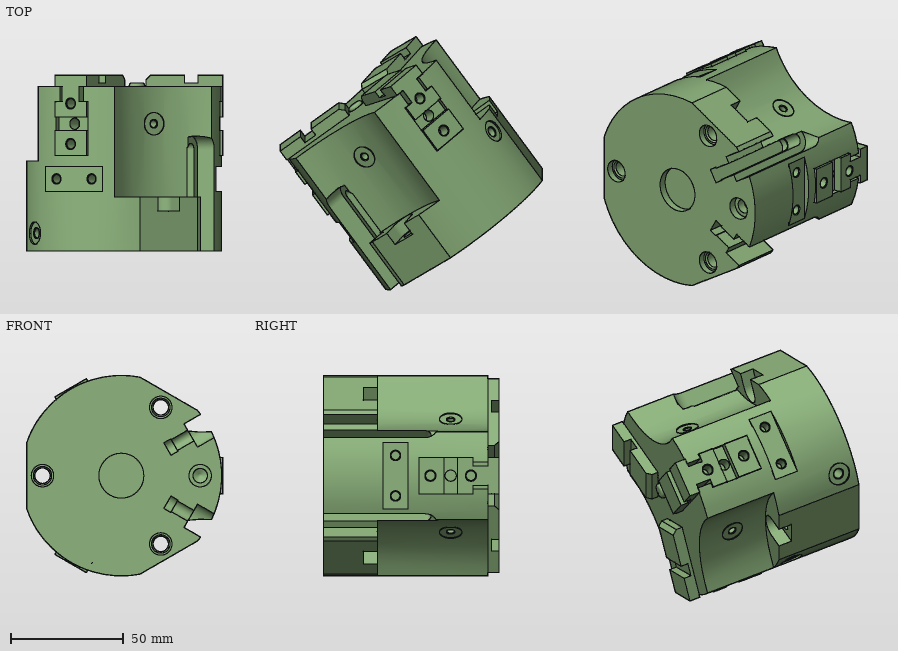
import cadquery as cq


JAW_ANGLES = (0, 120, 240)

HOUSING_RADIUS = 44.5
HOUSING_LENGTH = 73.1
FLAT_DISTANCE = 42.0
NECK_START = 66.3

SCALLOP_SHELVES = {60: 24.0, 180: 40.05, 300: 24.0}
SCALLOP_DEPTH_RADIUS = 29.0
SCALLOP_RADIUS = 43.0

BOLT_CIRCLE = 35.0
BOLT_HOLE_RADIUS = 3.4
BOLT_HEAD_RADIUS = 5.5
BOLT_HEAD_DEPTH = 6.2
SEAT_RADIUS = 5.0
SEAT_DEPTH = 3.2
BOLT_CHAMFER = 0.7
DOWEL_SEAT_DEPTH = 3.65
DOWEL_RADIUS = 3.2
DOWEL_DEPTH = 8.0
DOWEL_TIP = 1.8
CENTRE_RECESS_RADIUS = 10.0
CENTRE_RECESS_DEPTH = 3.6

CHANNEL_ANGLES = (30, -30)
CHANNEL_END = 45.0
CHANNEL_LAYERS = ((35.6, 6.0), (27.1, 2.8), (23.6, 3.2))

BRACKET_ANGLES = (0, 120)
BRACKET_CENTRE = 32.0
BRACKET_WIDTH = 10.95
BRACKET_HOLE_RADIUS = 2.0
BRACKET_HOLE_OFFSET = 9.0
BRACKET_HOLE_DEPTH = 7.1

PORTS = ((150, 8.0), (210, 31.95))
PORT_SEAT_DEPTH = 1.0
PORT_HOLE_RADIUS = 2.1
PORT_HOLE_DEPTH = 10.7

PURGE_Y = 56.5
PURGE_SEAT_DEPTH = 0.2
PURGE_HOLE_RADIUS = 1.6
PURGE_HOLE_DEPTH = 8.9

BUTTON_X = 6.9
BUTTON_RADIUS = 3.5
BUTTON_HEIGHT = 1.6
BUTTON_ROUNDING = 1.25

JAW_INNER = 10.9
JAW_OUTER = 45.0
JAW_HALF_WIDTH = 8.1
JAW_START = 42.4
JAW_END = 78.0
JAW_CHAMFER = 2.05
NECK_HALF_WIDTH = 4.4
NECK_SLOT_HALF_WIDTH = 6.0
JAW_KEYWAY_CENTRE = 31.0
JAW_KEYWAY_WIDTH = 5.9
JAW_KEYWAY_DEPTH = 3.4
JAW_GROOVE_CENTRE = 56.5
JAW_GROOVE_WIDTH = 5.9
JAW_GROOVE_FLOOR = 41.4
JAW_HOLES_Y = (47.5, 65.5)
JAW_HOLE_RADIUS = 2.1
JAW_HOLE_DEPTH = 8.0
GROOVE_HOLE_RADIUS = 2.5

HOLE_CHAMFER = 0.4
CLEARANCE = 8.9


def turned(shape, angle):
    """Turn a shape made along +X about the gripper axis to the given angle."""
    return shape.rotate((0, 0, 0), (0, 1, 0), -angle)


def disc(radius, y_start, y_end, x=0.0):
    """Cylinder parallel to the gripper axis."""
    return cq.Workplane("XZ", origin=(x, y_start, 0)).circle(radius).extrude(y_start - y_end)


def block(r_inner, r_outer, half_width, y_start, y_end):
    """Box along +X, centred across the XY plane."""
    size = (r_outer - r_inner, y_end - y_start, 2 * half_width)
    return cq.Workplane("XY").box(*size, centered=(False, False, True)).translate((r_inner, y_start, 0))


def radial_disc(radius, r_inner, r_outer, y, offset=0.0):
    """Cylinder along +X."""
    return cq.Workplane("YZ", origin=(r_inner, y, offset)).circle(radius).extrude(r_outer - r_inner)


def cone(base_radius, top_radius, height, base, direction):
    """Full or truncated cone standing on the point base."""
    solid = cq.Solid.makeCone(base_radius, top_radius, height, cq.Vector(*base), cq.Vector(*direction))
    return cq.Workplane(solid)


def chamfered_radial_hole(radius, depth, r_surface, y, offset=0.0):
    """Blind hole bored along -X from r_surface, with a chamfered mouth."""
    bore = radial_disc(radius, r_surface - depth, r_surface + HOLE_CHAMFER, y, offset)
    mouth = cone(radius + HOLE_CHAMFER, radius, HOLE_CHAMFER, (r_surface, y, offset), (-1, 0, 0))
    return bore.union(mouth)


def seated_port(r_seat, hole_radius, hole_depth, y):
    """Chamfered hole in the middle of a round flat seat."""
    seat = radial_disc(SEAT_RADIUS, r_seat, r_seat + CLEARANCE, y)
    return seat.union(chamfered_radial_hole(hole_radius, hole_depth, r_seat, y))


def housing_blank():
    """Round body with an outer flat at the angle of each concave pocket."""
    blank = disc(HOUSING_RADIUS, 0, HOUSING_LENGTH)
    flat = block(FLAT_DISTANCE, HOUSING_RADIUS + CLEARANCE, HOUSING_RADIUS, 0, HOUSING_LENGTH)
    for angle in SCALLOP_SHELVES:
        blank = blank.cut(turned(flat, angle))
    return blank


def scallop(shelf):
    """Concave pocket, its bolt hole and the round-ended space for the bolt head."""
    centre = SCALLOP_DEPTH_RADIUS + SCALLOP_RADIUS
    head_floor = shelf - BOLT_HEAD_DEPTH
    cutter = disc(SCALLOP_RADIUS, shelf, HOUSING_LENGTH, centre)
    cutter = cutter.union(disc(BOLT_HEAD_RADIUS, head_floor, shelf, BOLT_CIRCLE))
    cutter = cutter.union(block(BOLT_CIRCLE, HOUSING_RADIUS, BOLT_HEAD_RADIUS, head_floor, shelf))
    cutter = cutter.union(disc(BOLT_HOLE_RADIUS, 0, shelf, BOLT_CIRCLE))
    cutter = cutter.union(disc(SEAT_RADIUS, 0, SEAT_DEPTH, BOLT_CIRCLE))
    cutter = cutter.union(cone(BOLT_HOLE_RADIUS + BOLT_CHAMFER, BOLT_HOLE_RADIUS, BOLT_CHAMFER,
                               (BOLT_CIRCLE, SEAT_DEPTH, 0), (0, 1, 0)))
    r_seat = SCALLOP_DEPTH_RADIUS - PURGE_SEAT_DEPTH
    return cutter.union(seated_port(r_seat, PURGE_HOLE_RADIUS, PURGE_HOLE_DEPTH, PURGE_Y))


def dowel_hole():
    """Seated blind hole with a drill-point end."""
    hole = disc(SEAT_RADIUS, 0, DOWEL_SEAT_DEPTH, BOLT_CIRCLE)
    hole = hole.union(disc(DOWEL_RADIUS, 0, DOWEL_DEPTH, BOLT_CIRCLE))
    return hole.union(cone(DOWEL_RADIUS, 0, DOWEL_TIP, (BOLT_CIRCLE, DOWEL_DEPTH, 0), (0, 1, 0)))


def sensor_channel():
    """Stepped channel open to the mounting face, with round ends."""
    cutter = cq.Workplane("XY")
    r_outer = HOUSING_RADIUS + CLEARANCE
    for r_inner, half_width in CHANNEL_LAYERS:
        cutter = cutter.union(block(r_inner, r_outer, half_width, 0, CHANNEL_END))
        cutter = cutter.union(radial_disc(half_width, r_inner, r_outer, CHANNEL_END))
        r_outer = r_inner
    return cutter


def bracket_flat():
    """Cross-cut flat with its pair of screw holes."""
    half = BRACKET_WIDTH / 2
    cutter = block(FLAT_DISTANCE, HOUSING_RADIUS + CLEARANCE, HOUSING_RADIUS,
                   BRACKET_CENTRE - half, BRACKET_CENTRE + half)
    for offset in (-BRACKET_HOLE_OFFSET, BRACKET_HOLE_OFFSET):
        cutter = cutter.union(chamfered_radial_hole(BRACKET_HOLE_RADIUS, BRACKET_HOLE_DEPTH,
                                                    FLAT_DISTANCE, BRACKET_CENTRE, offset))
    return cutter


def jaw_slot():
    """T-shaped guide for one jaw."""
    r_outer = HOUSING_RADIUS + CLEARANCE
    slot = block(JAW_INNER, r_outer, JAW_HALF_WIDTH, JAW_START, NECK_START)
    return slot.union(block(JAW_INNER, r_outer, NECK_SLOT_HALF_WIDTH, NECK_START, HOUSING_LENGTH))


def button():
    """Low cylinder with a rounded top edge."""
    cylinder = disc(BUTTON_RADIUS, HOUSING_LENGTH, HOUSING_LENGTH + BUTTON_HEIGHT, BUTTON_X)
    return cylinder.edges(">Y").fillet(BUTTON_ROUNDING)


def make_housing():
    """Round body with every pocket, slot, port and hole, and the button on its +Y face."""
    housing = housing_blank()
    for angle, shelf in SCALLOP_SHELVES.items():
        housing = housing.cut(turned(scallop(shelf), angle))
    for angle in JAW_ANGLES:
        housing = housing.cut(turned(jaw_slot(), angle))
    for angle in CHANNEL_ANGLES:
        housing = housing.cut(turned(sensor_channel(), angle))
    for angle in BRACKET_ANGLES:
        housing = housing.cut(turned(bracket_flat(), angle))
    for angle, y in PORTS:
        port = seated_port(HOUSING_RADIUS - PORT_SEAT_DEPTH, PORT_HOLE_RADIUS, PORT_HOLE_DEPTH, y)
        housing = housing.cut(turned(port, angle))
    housing = housing.cut(dowel_hole())
    housing = housing.cut(disc(CENTRE_RECESS_RADIUS, 0, CENTRE_RECESS_DEPTH))
    return housing.union(button())


def make_jaw():
    """Jaw at 0 degrees: guided base, narrow neck and keyed top, with holes in its outer face."""
    jaw = block(JAW_INNER, JAW_OUTER, JAW_HALF_WIDTH, JAW_START, NECK_START)
    jaw = jaw.union(block(JAW_INNER, JAW_OUTER, NECK_HALF_WIDTH, NECK_START, HOUSING_LENGTH))
    top = block(JAW_INNER, JAW_OUTER, JAW_HALF_WIDTH, HOUSING_LENGTH, JAW_END)
    jaw = jaw.union(top.edges("<X and >Y").chamfer(JAW_CHAMFER))
    half_key = JAW_KEYWAY_WIDTH / 2
    jaw = jaw.cut(block(JAW_KEYWAY_CENTRE - half_key, JAW_KEYWAY_CENTRE + half_key, JAW_HALF_WIDTH,
                        JAW_END - JAW_KEYWAY_DEPTH, JAW_END))
    half_groove = JAW_GROOVE_WIDTH / 2
    jaw = jaw.cut(block(JAW_GROOVE_FLOOR, JAW_OUTER, JAW_HALF_WIDTH,
                        JAW_GROOVE_CENTRE - half_groove, JAW_GROOVE_CENTRE + half_groove))
    jaw = jaw.cut(radial_disc(GROOVE_HOLE_RADIUS, JAW_GROOVE_FLOOR - JAW_HOLE_DEPTH,
                              JAW_GROOVE_FLOOR, JAW_GROOVE_CENTRE))
    for y in JAW_HOLES_Y:
        jaw = jaw.cut(chamfered_radial_hole(JAW_HOLE_RADIUS, JAW_HOLE_DEPTH, JAW_OUTER, y))
    return jaw


housing = make_housing()
jaws = [turned(make_jaw(), angle) for angle in JAW_ANGLES]
result = cq.Compound.makeCompound([housing.solids().val(), *(jaw.solids().val() for jaw in jaws)])